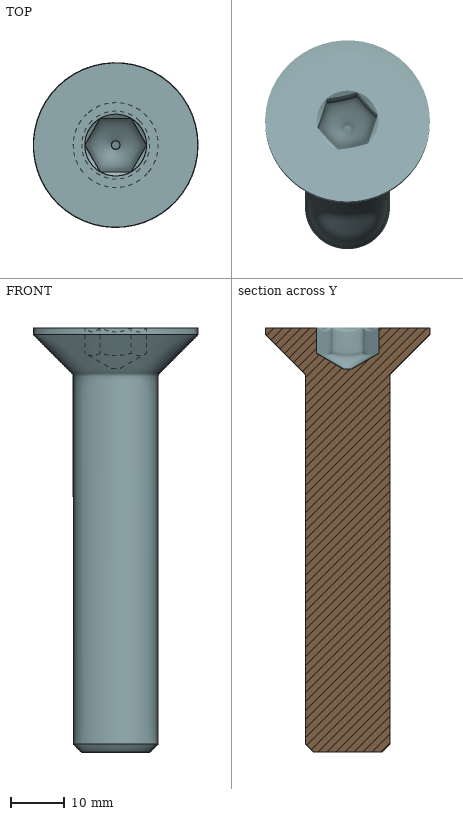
import cadquery as cq
import math

length = 80
head_diameter = 31.0
shank_diameter = 16

rim_height = 1.3
neck_radius = 0.5

tip_chamfer = 1.6

socket_across_flats = 10.1
socket_depth = 4.8
socket_mouth_angle = 45
floor_tip_diameter = 1.6
floor_slope = 30

head_radius = head_diameter / 2
shank_radius = shank_diameter / 2
socket_corner_radius = socket_across_flats / math.sqrt(3)
floor_tip_radius = floor_tip_diameter / 2
rim_bottom = length - rim_height
neck_z = rim_bottom - (head_radius - shank_radius)


def make_body():
    """Revolved screw: chamfered shank and countersunk head, centred on Z."""
    body = (
        cq.Workplane("XZ")
        .lineTo(shank_radius - tip_chamfer, 0)
        .lineTo(shank_radius, tip_chamfer)
        .lineTo(shank_radius, neck_z)
        .lineTo(head_radius, rim_bottom)
        .lineTo(head_radius, length)
        .lineTo(0, length)
        .close()
        .revolve(360, (0, 0, 0), (0, 1, 0))
    )
    neck_edge = cq.selectors.BoxSelector(
        (-head_radius, -head_radius, neck_z - neck_radius),
        (head_radius, head_radius, neck_z + neck_radius),
    )
    return body.edges(neck_edge).edges("%CIRCLE").fillet(neck_radius)


def make_socket():
    """Hexagonal recess with corners on the X axis and a truncated-cone floor."""
    corner_z = length - socket_depth
    floor_cone_depth = (socket_corner_radius - floor_tip_radius) * math.tan(math.radians(floor_slope))
    floor_z = corner_z - floor_cone_depth
    hexagon = (
        cq.Workplane("XY", origin=(0, 0, floor_z))
        .polygon(6, 2 * socket_corner_radius)
        .extrude(length - floor_z)
    )
    drilled_hole = (
        cq.Workplane("XZ")
        .moveTo(0, floor_z)
        .lineTo(floor_tip_radius, floor_z)
        .lineTo(socket_corner_radius, corner_z)
        .lineTo(socket_corner_radius, length)
        .lineTo(0, length)
        .close()
        .revolve(360, (0, 0, 0), (0, 1, 0))
    )
    return hexagon.intersect(drilled_hole)


def make_socket_mouth():
    """Countersink that trims the hexagon edges down to its corner circle."""
    depth = socket_corner_radius / math.tan(math.radians(socket_mouth_angle))
    return cq.Workplane(
        cq.Solid.makeCone(0, socket_corner_radius, depth, cq.Vector(0, 0, length - depth))
    )


result = make_body().cut(make_socket()).cut(make_socket_mouth())